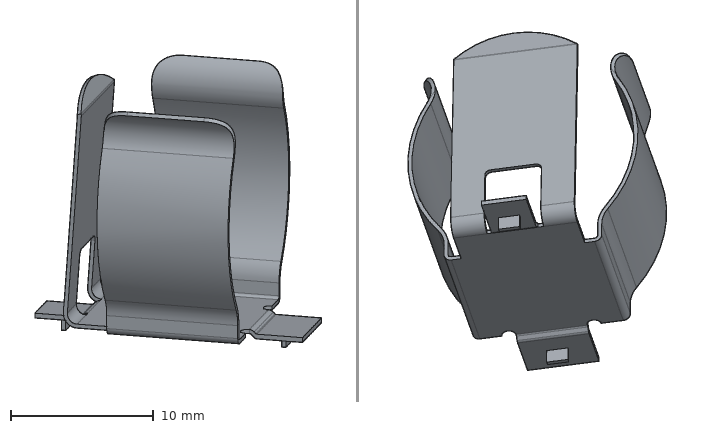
import cadquery as cq
import math

OVERALL_LENGTH = 19.7
OVERALL_WIDTH = 16.5
OVERALL_HEIGHT = 18.32
SHEET = 0.3

TAB_THICKNESS = 0.35
TAB_STEP_ANGLE = 45.0
STEP_TOP_RADIUS = 0.2
STEP_FOOT_RADIUS = 0.1
STEP_HEEL_RADIUS = 0.25
LEFT_TAB_WIDTH = 3.21
RIGHT_TAB_WIDTH = 5.12
PIN_HEIGHT = 1.0
PIN_WIDTH = 1.52
PIN_THICKNESS = 0.3
PIN_OFFSET = 8.0
TOP_Z = OVERALL_HEIGHT - TAB_THICKNESS - PIN_HEIGHT

BASE_LEFT = -6.0
BASE_RIGHT = 5.99
NOTCH_RADIUS = 0.5

ARM_LEFT = -3.53
ARM_LENGTH = BASE_RIGHT - ARM_LEFT
ARM_FOOT_Y = 5.65
ARM_BEND_RADIUS = 0.22
BOW_RADIUS = 10.0
BOW_Z = 8.92
FLARE_RADIUS = 2.0
CURL_START_ANGLE = 30.6
ARM_CORNER_RADIUS = 1.97

PANEL_WIDTH = 8.86
PANEL_BEND_RADIUS = 0.7
PANEL_TILT = 4.0
LIP_BEND_Z = 15.52
LIP_BEND_RADIUS = 0.1
LIP_TILT = 20.6
SLOT_WIDTH = 4.05
SLOT_TOP = 4.98
SLOT_CORNER_RADIUS = 0.43


def polar(center, radius, degrees):
    angle = math.radians(degrees)
    return (center[0] + radius * math.cos(angle), center[1] + radius * math.sin(angle))


def arc_to(path, center, radius, start, end):
    """Extend a path along an arc that begins at the path's current end."""
    middle = (start + end) / 2
    return path.threePointArc(polar(center, radius, middle), polar(center, radius, end))


def block(x_min, x_max, width, z_min, z_max):
    """A box centred on Y = 0."""
    corner = (x_min, -width / 2, z_min)
    return cq.Workplane("XY").box(x_max - x_min, width, z_max - z_min, centered=False).translate(corner)


def base_plate():
    plate = block(BASE_LEFT, ARM_LEFT, PANEL_WIDTH, 0, SHEET)
    arm_bend_y = ARM_FOOT_Y - SHEET - ARM_BEND_RADIUS
    plate = plate.union(block(ARM_LEFT, BASE_RIGHT, 2 * arm_bend_y, 0, SHEET))
    notch_y = RIGHT_TAB_WIDTH / 2 + NOTCH_RADIUS
    notches = (
        cq.Workplane("XY")
        .pushPoints([(BASE_RIGHT, notch_y), (BASE_RIGHT, -notch_y)])
        .circle(NOTCH_RADIUS)
        .extrude(SHEET)
    )
    return plate.cut(notches)


def spring_arm():
    """The arm on the +Y side: upright foot, flare, bow and outward curl, all tangent."""
    bend_center = (ARM_FOOT_Y - SHEET - ARM_BEND_RADIUS, SHEET + ARM_BEND_RADIUS)
    bow_center = (OVERALL_WIDTH / 2 - BOW_RADIUS, BOW_Z)
    center_distance = BOW_RADIUS + FLARE_RADIUS

    flare_y = ARM_FOOT_Y + FLARE_RADIUS
    flare_drop = math.sqrt(center_distance**2 - (flare_y - bow_center[0]) ** 2)
    flare_center = (flare_y, BOW_Z - flare_drop)
    bow_start = -math.degrees(math.asin(flare_drop / center_distance))

    curl_center = polar(bow_center, center_distance, CURL_START_ANGLE)
    flare_inner = FLARE_RADIUS + SHEET
    curl_start = 180 + CURL_START_ANGLE
    curl_end = 180 - math.degrees(math.asin((TOP_Z - curl_center[1]) / flare_inner))

    outer_bend = ARM_BEND_RADIUS + SHEET
    inner_bow = BOW_RADIUS - SHEET
    path = cq.Workplane("YZ", origin=(ARM_LEFT, 0, 0)).moveTo(bend_center[0], 0)
    path = arc_to(path, bend_center, outer_bend, -90, 0)
    path = path.lineTo(ARM_FOOT_Y, flare_center[1])
    path = arc_to(path, flare_center, FLARE_RADIUS, 180, 180 + bow_start)
    path = arc_to(path, bow_center, BOW_RADIUS, bow_start, CURL_START_ANGLE)
    path = arc_to(path, curl_center, FLARE_RADIUS, curl_start, curl_end)
    path = path.lineTo(*polar(curl_center, flare_inner, curl_end))
    path = arc_to(path, curl_center, flare_inner, curl_end, curl_start)
    path = arc_to(path, bow_center, inner_bow, CURL_START_ANGLE, bow_start)
    path = arc_to(path, flare_center, flare_inner, 180 + bow_start, 180)
    path = path.lineTo(ARM_FOOT_Y - SHEET, bend_center[1])
    path = arc_to(path, bend_center, ARM_BEND_RADIUS, 0, -90)
    arm = path.close().extrude(ARM_LENGTH)

    tip = polar(curl_center, FLARE_RADIUS + SHEET / 2, curl_end)
    return arm.cut(corner_waste(tip, curl_end, 1)).cut(corner_waste(tip, curl_end, -1))


def corner_waste(tip, curl_end, side):
    """Waste outside one rounded tip corner, cut square to the sheet at the tip; side is -1 or 1 in X."""
    facing = math.radians(curl_end)
    tip_plane = cq.Plane(
        origin=((ARM_LEFT + BASE_RIGHT) / 2, *tip),
        xDir=(1, 0, 0),
        normal=(0, -math.cos(facing), -math.sin(facing)),
    )
    edge_x = side * ARM_LENGTH / 2
    start_x = edge_x - side * ARM_CORNER_RADIUS
    arc_middle = polar((start_x, ARM_CORNER_RADIUS), ARM_CORNER_RADIUS, -90 + side * 45)
    return (
        cq.Workplane(tip_plane)
        .moveTo(start_x, 0)
        .threePointArc(arc_middle, (edge_x, ARM_CORNER_RADIUS))
        .lineTo(edge_x, 0)
        .close()
        .extrude(ARM_CORNER_RADIUS, both=True)
    )


def end_panel():
    """Leaning panel with its bend to the base and the slot that frees the left tab."""
    bend_center = (BASE_LEFT, SHEET + PANEL_BEND_RADIUS)
    outer_radius = PANEL_BEND_RADIUS + SHEET
    panel_angle = 180 - PANEL_TILT
    inner_start = polar(bend_center, PANEL_BEND_RADIUS, panel_angle)
    lean = math.tan(math.radians(PANEL_TILT))

    lip_bend_start = (inner_start[0] + lean * (LIP_BEND_Z - inner_start[1]), LIP_BEND_Z)
    lip_bend_outside = LIP_BEND_RADIUS + SHEET
    lip_bend_center = polar(lip_bend_start, lip_bend_outside, panel_angle)
    lip_root = polar(lip_bend_center, lip_bend_outside, LIP_TILT)

    path = cq.Workplane("XZ", origin=(0, PANEL_WIDTH / 2, 0)).moveTo(BASE_LEFT, 0)
    path = arc_to(path, bend_center, outer_radius, 270, panel_angle)
    path = path.lineTo(*polar(lip_bend_center, LIP_BEND_RADIUS, -PANEL_TILT))
    path = arc_to(path, lip_bend_center, LIP_BEND_RADIUS, -PANEL_TILT, LIP_TILT)
    path = path.lineTo(*lip_root)
    path = arc_to(path, lip_bend_center, lip_bend_outside, LIP_TILT, -PANEL_TILT)
    path = path.lineTo(*inner_start)
    path = arc_to(path, bend_center, PANEL_BEND_RADIUS, panel_angle, 270)
    panel = path.close().extrude(PANEL_WIDTH)

    slot = block(BASE_LEFT - 2 * outer_radius, BASE_LEFT, SLOT_WIDTH, 0, SLOT_TOP)
    slot = slot.edges("|X and >Z").fillet(SLOT_CORNER_RADIUS)
    return panel.cut(slot).union(lip(*lip_root))


def lip(root_x, root_z):
    """Lip leaning away from the arms, with a crowned upper edge square to its faces."""
    tilt = math.radians(LIP_TILT)
    crown = (TOP_Z - root_z) / math.cos(tilt)
    face = cq.Plane(
        origin=(root_x, 0, root_z),
        xDir=(0, -1, 0),
        normal=(-math.cos(tilt), 0, -math.sin(tilt)),
    )
    half = PANEL_WIDTH / 2
    return (
        cq.Workplane(face)
        .moveTo(-half, 0)
        .threePointArc((0, crown), (half, 0))
        .close()
        .extrude(SHEET)
    )


def step_bend_center(upper_radius, lower_radius, face_z):
    """Center of the bend that joins the sloping step to a flat face at face_z, tangent to both."""
    angle = math.radians(TAB_STEP_ANGLE)
    center_z = face_z + lower_radius
    rise = center_z + STEP_TOP_RADIUS
    return ((upper_radius + lower_radius - rise * math.cos(angle)) / math.sin(angle), center_z)


def solder_tab(side, root_x, width):
    """Tab that steps down from the base at root_x; side is -1 for the left and 1 for the right."""
    profile_plane = cq.Plane(origin=(root_x, 0, 0), xDir=(side, 0, 0), normal=(0, -side, 0))
    length = OVERALL_LENGTH / 2 - abs(root_x)
    slope_normal = 90 - TAB_STEP_ANGLE
    facing = slope_normal + 180
    top_center = (0, -STEP_TOP_RADIUS)
    top_outside = STEP_TOP_RADIUS + SHEET
    foot_center = step_bend_center(top_outside, STEP_FOOT_RADIUS, 0)
    heel_center = step_bend_center(STEP_TOP_RADIUS, STEP_HEEL_RADIUS, -TAB_THICKNESS)

    path = cq.Workplane(profile_plane).moveTo(0, SHEET)
    path = arc_to(path, top_center, top_outside, 90, slope_normal)
    path = path.lineTo(*polar(foot_center, STEP_FOOT_RADIUS, facing))
    path = arc_to(path, foot_center, STEP_FOOT_RADIUS, facing, 270)
    path = path.lineTo(length, 0).lineTo(length, -TAB_THICKNESS)
    path = path.lineTo(heel_center[0], -TAB_THICKNESS)
    path = arc_to(path, heel_center, STEP_HEEL_RADIUS, 270, facing)
    path = path.lineTo(*polar(top_center, STEP_TOP_RADIUS, slope_normal))
    path = arc_to(path, top_center, STEP_TOP_RADIUS, slope_normal, 90)
    tab = path.close().extrude(width / 2, both=True)

    pin_x = side * PIN_OFFSET
    pin_min = pin_x - PIN_THICKNESS / 2
    pin = block(pin_min, pin_min + PIN_THICKNESS, PIN_WIDTH, -TAB_THICKNESS - PIN_HEIGHT, -TAB_THICKNESS)
    return tab.union(pin)


arm = spring_arm()
result = (
    base_plate()
    .union(arm)
    .union(arm.mirror("XZ"))
    .union(end_panel())
    .union(solder_tab(-1, BASE_LEFT, LEFT_TAB_WIDTH))
    .union(solder_tab(1, BASE_RIGHT, RIGHT_TAB_WIDTH))
)